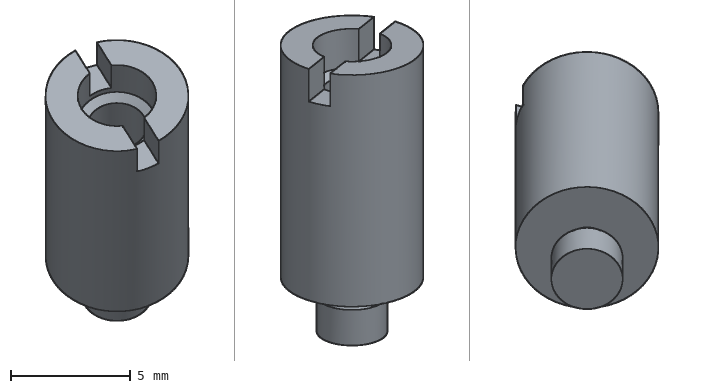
import cadquery as cq
import math

total_height = 13.2
body_diameter = 6.0

pin_diameter = 3.0
pin_height = 1.65
neck_top_diameter = 2.0
body_bottom = 2.5

slot_width = 1.0
slot_depth = 1.5

entry_diameter = 3.3
entry_depth = 1.8
core_diameter = 2.5
core_depth = 6.6
drill_point_angle = 118.0


def make_outer_body():
    """Revolve the pin, neck and cylindrical body about Z."""
    return (
        cq.Workplane("XZ")
        .lineTo(pin_diameter / 2, 0)
        .lineTo(pin_diameter / 2, pin_height)
        .lineTo(neck_top_diameter / 2, body_bottom)
        .lineTo(body_diameter / 2, body_bottom)
        .lineTo(body_diameter / 2, total_height)
        .lineTo(0, total_height)
        .close()
        .revolve(360, (0, 0, 0), (0, 1, 0))
    )


def make_hole():
    """Revolve the stepped blind hole, ending in a drill point."""
    entry_radius = entry_diameter / 2
    core_radius = core_diameter / 2
    step_top = total_height - entry_depth
    cone_slope = 1 / math.tan(math.radians(drill_point_angle / 2))
    step_bottom = step_top - (entry_radius - core_radius) * cone_slope
    core_bottom = total_height - core_depth
    tip = core_bottom - core_radius * cone_slope
    return (
        cq.Workplane("XZ")
        .moveTo(0, total_height)
        .lineTo(entry_radius, total_height)
        .lineTo(entry_radius, step_top)
        .lineTo(core_radius, step_bottom)
        .lineTo(core_radius, core_bottom)
        .lineTo(0, tip)
        .close()
        .revolve(360, (0, 0, 0), (0, 1, 0))
    )


def make_slot():
    """Box that cuts the slot right across the body."""
    return (
        cq.Workplane("XY", origin=(0, 0, total_height - slot_depth))
        .box(body_diameter * 2, slot_width, slot_depth, centered=(True, True, False))
    )


result = make_outer_body().cut(make_hole()).cut(make_slot())